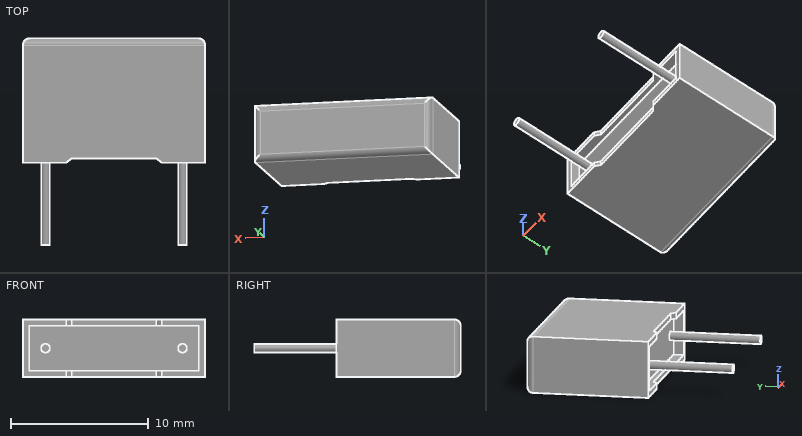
import cadquery as cq

case_width = 13.3
case_length = 9.1
case_thickness = 4.21
wall = 0.45
back_edge_radius = 0.5

notch_mouth_width = 7.0
notch_floor_width = 6.2
notch_depth = 0.32

resin_setback = 0.75

lead_pitch = 10.0
lead_diameter = 0.65
lead_reach = 6.0

cavity_width = case_width - 2 * wall
cavity_thickness = case_thickness - 2 * wall
cavity_depth = case_length - wall
resin_depth = cavity_depth - resin_setback
lead_length = lead_reach + resin_setback


def block(width, thickness, front, length):
    """Box centred on X and Z that runs from Y = front towards +Y."""
    return cq.Workplane("XY").box(width, length, thickness).translate((0, front + length / 2, 0))


def rim_notch():
    """Trapezoidal cutter that passes through both broad walls at the rim."""
    return (
        cq.Workplane("XY")
        .moveTo(-notch_mouth_width / 2, 0)
        .lineTo(-notch_floor_width / 2, notch_depth)
        .lineTo(notch_floor_width / 2, notch_depth)
        .lineTo(notch_mouth_width / 2, 0)
        .close()
        .extrude(case_thickness, both=True)
    )


def make_case():
    """Open box with rounded edges around its closed back and a notched rim."""
    outside = block(case_width, case_thickness, 0, case_length)
    outside = outside.faces(">Y").edges().fillet(back_edge_radius)
    cavity = block(cavity_width, cavity_thickness, 0, cavity_depth)
    return outside.cut(cavity).cut(rim_notch())


def make_resin():
    """Resin block that fills the cavity behind the setback."""
    return block(cavity_width, cavity_thickness, resin_setback, resin_depth)


def make_lead(x):
    """Round wire that stands on the resin face and points towards -Y."""
    return (
        cq.Workplane("XZ", origin=(x, resin_setback, 0))
        .circle(lead_diameter / 2)
        .extrude(lead_length)
    )


case = make_case()
resin = make_resin()
leads = [make_lead(side * lead_pitch / 2) for side in (-1, 1)]

result = cq.Compound.makeCompound([case.val(), resin.val(), *[lead.val() for lead in leads]])